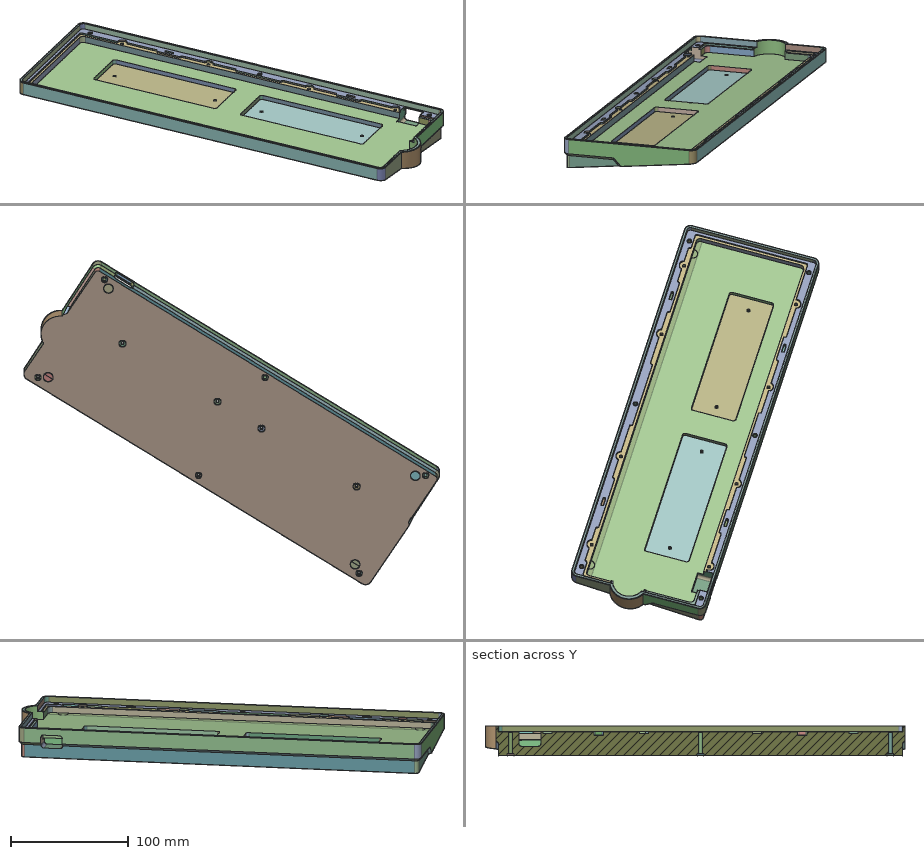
import cadquery as cq
import math

total_length = 356.5
tray_length = 347.8
tray_depth = 118.8
total_height = 26.0
corner_radius = 5.5
rim_chamfer = 0.5
mid_x = tray_length / 2

tilt_degrees = 7.0
slope = math.tan(math.radians(tilt_degrees))
base_inset = 2.0
step_drop = 15.0
step_chamfer = base_inset
step_flat_y = 74.2
bottom_rear_y = tray_depth - base_inset

lip_width = 2.0
ledge_drop = 5.0
groove_drop = 6.5
floor_drop = 12.0
groove_side = 4.5
groove_end = 9.5
groove_radius = 1.5
pocket_side = 6.8
pocket_end = 11.8
pocket_radius = 3.5
ramp_start = 16.0

widening = 2.0
widening_lead = 1.0
screw_from_edge = 8.5
screw_diameter = 2.5
screw_depth = 3.5
screw_recess_diameter = 8.2

rear_left_widenings = [(40.3, 44.0, 77.5), (99.0, 126.0, 152.5)]
rear_widenings = rear_left_widenings + [
    (tray_length - end, tray_length - screw, tray_length - start)
    for start, screw, end in rear_left_widenings
]
front_widenings = [(18.0, 35.5, 52.8), (81.3, 103.5, 134.0), (193.5, 224.7, 247.0), (295.0, 312.0, 329.5)]

ledge_feature_from_edge = 6.5
mount_from_side = 12.5
mount_diameter = 2.8
mount_countersink = 0.55
mount_counterbore = 5.5
counterbore_depth = 1.8
slot_length = 8.0
slot_width = 2.0
slot_depth = 3.0
rear_slot_from_side = 87.5
rear_slot_xs = (rear_slot_from_side, tray_length - rear_slot_from_side)
front_slot_xs = (66.7, 270.7)

panel_length = 117.0
panel_width = 39.2
panel_depth = 4.0
panel_radius = 2.0
panel_spacing = 139.8
panel_y = 71.7
panel_hole_spacing = 95.5
panel_hole_diameter = 2.5
panel_counterbore = 6.0

tongue_radius = 16.8
tongue_wall = 3.0
tongue_x = total_length - tongue_radius
tongue_y = 50.0
tongue_groove_gap = 1.5

cable_x = 319.0
cable_width = 18.5
cable_front_y = 101.5
cable_top_drop = 5.7
cable_bottom_drop = 17.5
cable_wall = 3.2
cable_radius = 2.5

foot_from_side = 19.5
foot_from_edge = 11.5
foot_diameter = 8.2
foot_depth = 0.9

past = 3.5


def bottom_z(y):
    """Height of the sloping underside at depth y."""
    return (bottom_rear_y - y) * slope


def outline(side, end, radius, z):
    """Rounded rectangle set in from the tray edges, on a plane at height z."""
    return (
        cq.Workplane("XY", origin=(mid_x, tray_depth / 2, z))
        .sketch()
        .rect(tray_length - 2 * side, tray_depth - 2 * end)
        .vertices()
        .fillet(radius)
        .finalize()
    )


def column(x, y, diameter, z_from, z_to):
    """Upright cylinder between two heights."""
    return cq.Workplane("XY", origin=(x, y, z_from)).circle(diameter / 2).extrude(z_to - z_from)


def underside_hole(x, y, diameter, depth):
    """Round cutter normal to the sloping underside, reaching the given depth into it."""
    tilt = math.radians(tilt_degrees)
    inward = (0, math.sin(tilt), math.cos(tilt))
    plane = cq.Plane(origin=(x, y, bottom_z(y)), xDir=(1, 0, 0), normal=inward)
    return cq.Workplane(plane).workplane(offset=-past).circle(diameter / 2).extrude(past + depth)


def along_x(points):
    """Prism of a Y-Z profile, running past both ends of the part."""
    return (
        cq.Workplane("YZ", origin=(-past, 0, 0)).polyline(points).close().extrude(total_length + 2 * past)
    )


def make_body():
    """Solid wedge whose base steps in at the sides and rear, with a round tongue on +X."""
    step_z = total_height - step_drop
    step_foot_y = step_flat_y - step_z
    step_cutter = along_x([
        (step_flat_y, step_z),
        (tray_depth + past, step_z),
        (tray_depth + past, 0),
        (step_foot_y, 0),
    ])
    upper = outline(0, 0, corner_radius, 0).extrude(total_height).cut(step_cutter)
    low_edges = cq.selectors.BoxSelector(
        (-past, step_foot_y + past, -past),
        (tray_length + past, tray_depth + past, step_z + past),
    )
    step_bend = cq.selectors.NearestToPointSelector((mid_x, step_flat_y, step_z))
    upper = upper.edges(low_edges - step_bend).chamfer(step_chamfer)

    base = outline(base_inset, base_inset, corner_radius - base_inset, 0).extrude(total_height - past)
    tongue = column(tongue_x, tongue_y, 2 * tongue_radius, 0, total_height)
    body = upper.union(base).union(tongue).faces(">Z").edges().chamfer(rim_chamfer)
    below = along_x([
        (-past, bottom_z(-past)),
        (tray_depth + past, bottom_z(tray_depth + past)),
        (tray_depth + past, -past),
        (-past, -past),
    ])
    return body.cut(below)


def widening_cutter(start, screw, end):
    """Groove widening with sloping ends and a round recess about its screw, along the front edge."""
    near = groove_end - widening
    groove_z = total_height - groove_drop
    strip = (
        cq.Workplane("XY", origin=(0, 0, groove_z))
        .polyline([
            (start, pocket_end),
            (start, groove_end),
            (start + widening_lead, near),
            (end - widening_lead, near),
            (end, groove_end),
            (end, pocket_end),
        ])
        .close()
        .extrude(past)
    )
    recess = column(screw, screw_from_edge, screw_recess_diameter, groove_z, groove_z + past)
    screw_hole = column(screw, screw_from_edge, screw_diameter, groove_z - screw_depth, groove_z)
    return strip.union(recess).union(screw_hole)


def to_rear(cutter):
    """Mirror image of a front-edge cutter, placed at the rear edge."""
    return cutter.mirror("XZ").translate((0, tray_depth, 0))


def cut_interior(body):
    """Ledge inside the lip, screw groove within it, and the pocket with its ramp along the front."""
    ledge = outline(lip_width, lip_width, corner_radius - lip_width, total_height - ledge_drop).extrude(
        ledge_drop + past
    )
    groove = outline(groove_side, groove_end, groove_radius, total_height - groove_drop).extrude(past)
    for widening_span in front_widenings:
        groove = groove.union(widening_cutter(*widening_span))
    for widening_span in rear_widenings:
        groove = groove.union(to_rear(widening_cutter(*widening_span)))
    tongue_inner = tongue_radius - tongue_wall
    groove_stop = 2 * (tongue_inner + tongue_groove_gap)
    groove = groove.cut(column(tongue_x, tongue_y, groove_stop, 0, total_height))

    floor_z = total_height - floor_drop
    pocket = outline(pocket_side, pocket_end, pocket_radius, floor_z).extrude(floor_drop)
    ramp = along_x([
        (ramp_start, floor_z),
        (0, floor_z + ramp_start * slope),
        (0, floor_z),
    ])
    pocket = pocket.cut(ramp)
    tongue_pocket = column(tongue_x, tongue_y, 2 * tongue_inner, floor_z, total_height + past)
    return body.cut(ledge).cut(groove).cut(pocket).cut(tongue_pocket)


def mount_countersink_cone(x, y):
    """45-degree countersink at the ledge end of a mounting hole."""
    cone = cq.Solid.makeCone(
        mount_diameter / 2,
        mount_diameter / 2 + mount_countersink,
        mount_countersink,
        pnt=cq.Vector(x, y, total_height - ledge_drop - mount_countersink),
    )
    return cq.Workplane(cone)


def cut_ledge_features(body):
    """Mounting holes, counterbored from below, and blind slots along the front and rear ledges."""
    ledge_z = total_height - ledge_drop
    rear_y = tray_depth - ledge_feature_from_edge
    for x in (mount_from_side, mid_x, tray_length - mount_from_side):
        for y in (ledge_feature_from_edge, rear_y):
            body = body.cut(column(x, y, mount_diameter, -past, total_height))
            body = body.cut(mount_countersink_cone(x, y))
            body = body.cut(underside_hole(x, y, mount_counterbore, counterbore_depth))
    for y, slot_xs in ((ledge_feature_from_edge, front_slot_xs), (rear_y, rear_slot_xs)):
        for x in slot_xs:
            slot = cq.Workplane("XY", origin=(x, y, ledge_z - slot_depth)).slot2D(slot_length, slot_width)
            body = body.cut(slot.extrude(slot_depth))
    return body


def cut_panels(body):
    """Two shallow panels in the floor, each with a pair of holes counterbored from below."""
    panel_z = total_height - floor_drop - panel_depth
    for side in (-1, 1):
        panel_x = mid_x + side * panel_spacing / 2
        panel = (
            cq.Workplane("XY", origin=(panel_x, panel_y, panel_z))
            .rect(panel_length, panel_width)
            .extrude(panel_depth)
            .edges("|Z")
            .fillet(panel_radius)
        )
        body = body.cut(panel)
        for end in (-1, 1):
            hole_x = panel_x + end * panel_hole_spacing / 2
            body = body.cut(column(hole_x, panel_y, panel_hole_diameter, 0, total_height))
            body = body.cut(underside_hole(hole_x, panel_y, panel_counterbore, counterbore_depth))
    return body


def cut_cable_opening(body):
    """Bay open at the top inside the rear wall, leading to a rounded window through that wall."""

    def bar(rear_y, top_drop):
        length = rear_y - cable_front_y
        height = cable_bottom_drop - top_drop
        centre = (cable_x, cable_front_y + length / 2, total_height - cable_bottom_drop + height / 2)
        return cq.Workplane("XY", origin=centre).box(cable_width, length, height)

    window = bar(tray_depth + past, cable_top_drop).edges("|Y").fillet(cable_radius)
    bay = bar(tray_depth - cable_wall, ledge_drop).edges("|Y and <Z").fillet(cable_radius)
    return body.cut(window).cut(bay)


def cut_feet(body):
    """Shallow round foot recesses near the corners of the underside."""
    for x in (foot_from_side, tray_length - foot_from_side):
        for y in (foot_from_edge, tray_depth - foot_from_edge):
            body = body.cut(underside_hole(x, y, foot_diameter, foot_depth))
    return body


result = make_body()
for cut_feature in (cut_interior, cut_ledge_features, cut_panels, cut_cable_opening, cut_feet):
    result = cut_feature(result)